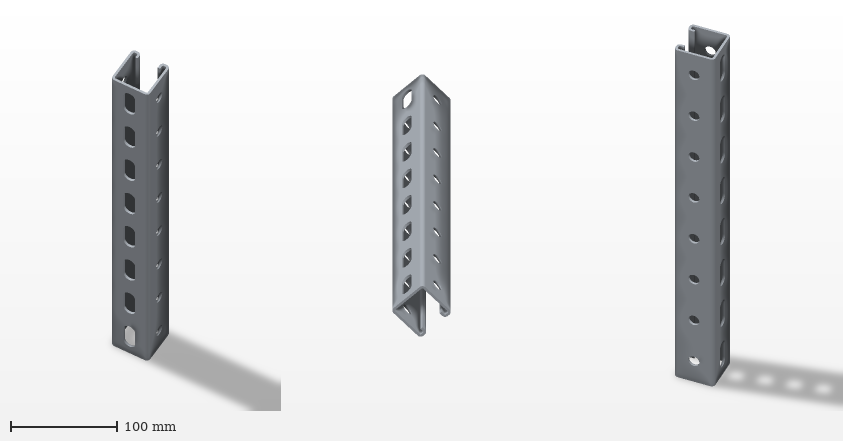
import cadquery as cq
import math

width = 41.0
depth = 41.0
length = 400.0

thickness = 2.5
inner_bend_radius = thickness / 2
mouth_opening = 22.0
lip_depth = 7.2

pitch = 50.0
slot_width = 12.5
slot_length = 30.0
side_hole_diameter = 11.2

outer_bend_radius = inner_bend_radius + thickness
hole_count = int(length / pitch)
perforation_heights = [pitch * (i + 0.5) for i in range(hole_count)]


def make_channel():
    """Extrude the +X half of the C-shaped section and mirror it."""
    outer_x = width / 2
    outer_y = depth / 2
    inner_x = outer_x - thickness
    inner_y = outer_y - thickness
    mouth_x = mouth_opening / 2
    lip_back_x = mouth_x + thickness
    lip_end_y = outer_y - lip_depth

    side_bend_x = outer_x - outer_bend_radius
    lip_bend_x = mouth_x + outer_bend_radius
    bend_y = outer_y - outer_bend_radius
    outer_mid = outer_bend_radius * math.sqrt(0.5)
    inner_mid = inner_bend_radius * math.sqrt(0.5)

    section = (
        cq.Workplane("XY")
        .moveTo(mouth_x, lip_end_y)
        .lineTo(mouth_x, bend_y)
        .threePointArc((lip_bend_x - outer_mid, bend_y + outer_mid), (lip_bend_x, outer_y))
        .lineTo(side_bend_x, outer_y)
        .threePointArc((side_bend_x + outer_mid, bend_y + outer_mid), (outer_x, bend_y))
        .lineTo(outer_x, -bend_y)
        .threePointArc((side_bend_x + outer_mid, -bend_y - outer_mid), (side_bend_x, -outer_y))
        .lineTo(0, -outer_y)
        .lineTo(0, -inner_y)
        .lineTo(side_bend_x, -inner_y)
        .threePointArc((side_bend_x + inner_mid, -bend_y - inner_mid), (inner_x, -bend_y))
        .lineTo(inner_x, bend_y)
        .threePointArc((side_bend_x + inner_mid, bend_y + inner_mid), (side_bend_x, inner_y))
        .lineTo(lip_bend_x, inner_y)
        .threePointArc((lip_bend_x - inner_mid, bend_y + inner_mid), (lip_back_x, bend_y))
        .lineTo(lip_back_x, lip_end_y)
        .close()
    )
    half_channel = section.extrude(length)
    return half_channel.union(half_channel.mirror("YZ")).clean()


def make_web_slots():
    """Cutters for the upright slots through the web."""
    return (
        cq.Workplane("XZ", origin=(0, -depth / 2, 0))
        .pushPoints([(0, height) for height in perforation_heights])
        .slot2D(slot_length, slot_width, angle=90)
        .extrude(-thickness)
    )


def make_side_holes():
    """Cutters for the round holes through both side walls."""
    return (
        cq.Workplane("YZ")
        .pushPoints([(0, height) for height in perforation_heights])
        .circle(side_hole_diameter / 2)
        .extrude(width / 2, both=True)
    )


result = make_channel().cut(make_web_slots()).cut(make_side_holes())